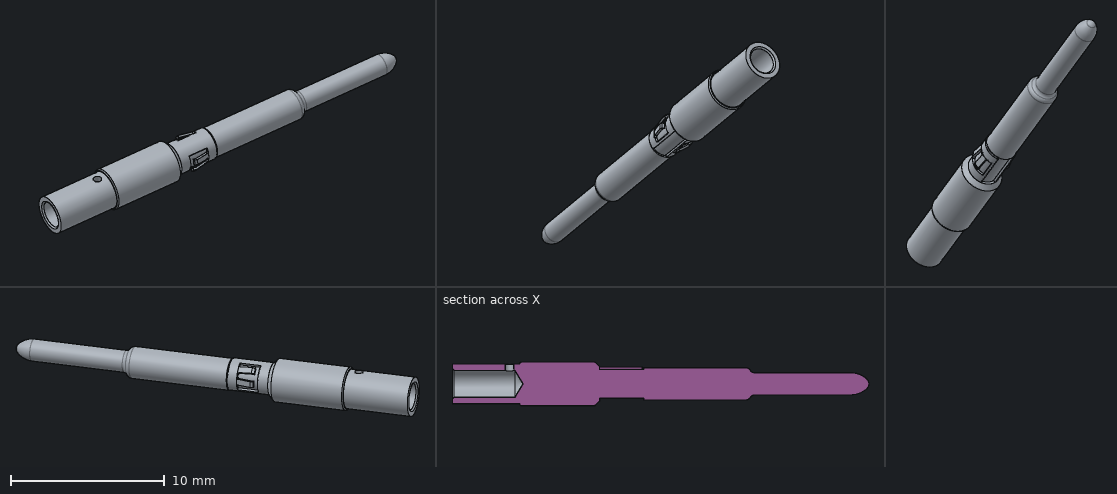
import cadquery as cq
import math

LENGTH = 27.1

CLIP_R = 1.1

BARREL_R = 1.3
COLLAR_R = 1.44
COLLAR_START = 4.35
COLLAR_END = 9.27
COLLAR_REAR_CHAMFER = 0.08
COLLAR_FRONT_CHAMFER = COLLAR_R - CLIP_R
GROOVE_R = 0.95
GROOVE_START = COLLAR_END + COLLAR_FRONT_CHAMFER
GROOVE_END = 12.45
SHANK_R = 1.05
SHANK_END = 19.08
CONTACT_R = 0.73

SHOULDER_EDGE_R = 0.9
SHOULDER_EDGE_Y = 19.38
CONTACT_START = 19.65

NOSE_START = 25.95
NOSE_SLOPE = math.radians(45)

BORE_R = 0.87
BORE_DEPTH = 4.06
BORE_POINT_ANGLE = math.radians(118)
BORE_CHAMFER = 0.1
INSPECTION_R = 0.27
INSPECTION_Y = 3.7

CLIP_END = 12.35
CLIP_THICKNESS = CLIP_R - GROOVE_R
CLIP_AXIS = 72.0
SPLIT_WIDTH = 56.0
WINDOW_OFFSET = 90.0
WINDOW_WIDTH = 104.0
WINDOW_START = 10.3
WINDOW_END = 11.7

TONGUE_WIDTH = 0.4
TONGUE_ROOT_FLARE = 0.1
TONGUE_BEND_R = 1.27
TONGUE_BEND_Y = 10.73
TONGUE_TIP_R = 1.22
TONGUE_TIP_Y = 10.55
TONGUE_PITCH = 43.0
OUTER_TONGUE_ANGLE = 180.0


def turn(body, angle):
    """Turn a body about Y, from +X towards +Z."""
    return body.rotate((0, 0, 0), (0, 1, 0), -angle)


def revolve(profile, angle=360):
    return profile.revolve(angle, (0, 0, 0), (0, 1, 0))


def ring_sector(inner_r, outer_r, y_start, y_end, middle, width):
    """Part of a ring about Y, `width` degrees wide and centred on the angle `middle`."""
    profile = cq.Workplane("XY").moveTo(inner_r, y_start).lineTo(outer_r, y_start)
    profile = profile.lineTo(outer_r, y_end).lineTo(inner_r, y_end).close()
    return turn(revolve(profile, width), middle + width / 2)


def pin_blank():
    """Turned outside of the pin."""
    nose_length = LENGTH - NOSE_START
    long_share = math.sin(NOSE_SLOPE)
    short_share = 1 - math.cos(NOSE_SLOPE)
    flank_r = (nose_length * long_share - CONTACT_R * short_share) / (long_share**2 - short_share**2)
    cap_r = (CONTACT_R - flank_r * short_share) / long_share
    meet = (cap_r * long_share, NOSE_START + flank_r * long_share)

    profile = (
        cq.Workplane("XY")
        .moveTo(0, 0)
        .lineTo(BARREL_R, 0)
        .lineTo(BARREL_R, COLLAR_START)
        .lineTo(COLLAR_R - COLLAR_REAR_CHAMFER, COLLAR_START)
        .lineTo(COLLAR_R, COLLAR_START + COLLAR_REAR_CHAMFER)
        .lineTo(COLLAR_R, COLLAR_END)
        .lineTo(COLLAR_R - COLLAR_FRONT_CHAMFER, GROOVE_START)
        .lineTo(GROOVE_R, GROOVE_START)
        .lineTo(GROOVE_R, GROOVE_END)
        .lineTo(SHANK_R, GROOVE_END)
        .lineTo(SHANK_R, SHANK_END)
        .tangentArcPoint((SHOULDER_EDGE_R, SHOULDER_EDGE_Y), relative=False)
        .threePointArc(shoulder_hollow_middle(), (CONTACT_R, CONTACT_START))
        .lineTo(CONTACT_R, NOSE_START)
        .tangentArcPoint(meet, relative=False)
        .tangentArcPoint((0, LENGTH), relative=False)
        .close()
    )
    return revolve(profile)


def shoulder_hollow_middle():
    """Middle of the concave arc that runs from the shoulder edge tangent into the contact."""
    rise = SHOULDER_EDGE_R - CONTACT_R
    run = CONTACT_START - SHOULDER_EDGE_Y
    hollow_r = (rise**2 + run**2) / (2 * rise)
    half_sweep = math.asin(run / hollow_r) / 2
    return (
        CONTACT_R + hollow_r * (1 - math.cos(half_sweep)),
        CONTACT_START - hollow_r * math.sin(half_sweep),
    )


def wire_bore():
    """Drilled bore with a pointed bottom and a chamfered mouth."""
    profile = (
        cq.Workplane("XY")
        .moveTo(0, 0)
        .lineTo(BORE_R + BORE_CHAMFER, 0)
        .lineTo(BORE_R, BORE_CHAMFER)
        .lineTo(BORE_R, BORE_DEPTH)
        .lineTo(0, BORE_DEPTH + BORE_R / math.tan(BORE_POINT_ANGLE / 2))
        .close()
    )
    return revolve(profile)


def inspection_hole():
    """Hole from the bore out through the +Z wall of the barrel."""
    return cq.Workplane("XY").center(0, INSPECTION_Y).circle(INSPECTION_R).extrude(COLLAR_R)


def make_contact_pin():
    return pin_blank().cut(wire_bore()).cut(inspection_hole())


def tongue(angle):
    """One latch tongue: its bent side profile cut to its flared plan."""
    half_width = TONGUE_WIDTH / 2
    root_half_width = half_width + TONGUE_ROOT_FLARE
    side = (
        cq.Workplane("XY")
        .moveTo(CLIP_R, WINDOW_END)
        .lineTo(TONGUE_BEND_R, TONGUE_BEND_Y)
        .lineTo(TONGUE_TIP_R, TONGUE_TIP_Y)
        .lineTo(TONGUE_TIP_R - CLIP_THICKNESS, TONGUE_TIP_Y)
        .lineTo(TONGUE_BEND_R - CLIP_THICKNESS, TONGUE_BEND_Y)
        .lineTo(GROOVE_R, WINDOW_END)
        .close()
        .extrude(root_half_width, both=True)
    )
    plan = (
        cq.Workplane("YZ")
        .moveTo(WINDOW_END, root_half_width)
        .lineTo(WINDOW_END - TONGUE_ROOT_FLARE, half_width)
        .lineTo(TONGUE_TIP_Y, half_width)
        .lineTo(TONGUE_TIP_Y, -half_width)
        .lineTo(WINDOW_END - TONGUE_ROOT_FLARE, -half_width)
        .lineTo(WINDOW_END, -root_half_width)
        .close()
        .extrude(COLLAR_R)
    )
    return turn(side.intersect(plan), angle)


def make_spring_clip():
    clip = ring_sector(GROOVE_R, CLIP_R, GROOVE_START, CLIP_END, CLIP_AXIS, 360 - SPLIT_WIDTH)
    for side in (-1, 1):
        window_middle = CLIP_AXIS + side * WINDOW_OFFSET
        clip = clip.cut(
            ring_sector(0, COLLAR_R, WINDOW_START, WINDOW_END, window_middle, WINDOW_WIDTH)
        )
    for step in (0, 1):
        angle = OUTER_TONGUE_ANGLE - step * TONGUE_PITCH
        clip = clip.union(tongue(angle))
        clip = clip.union(tongue(2 * CLIP_AXIS - angle))
    return clip


contact_pin = make_contact_pin()
spring_clip = make_spring_clip()

result = cq.Compound.makeCompound([contact_pin.val(), spring_clip.val()])